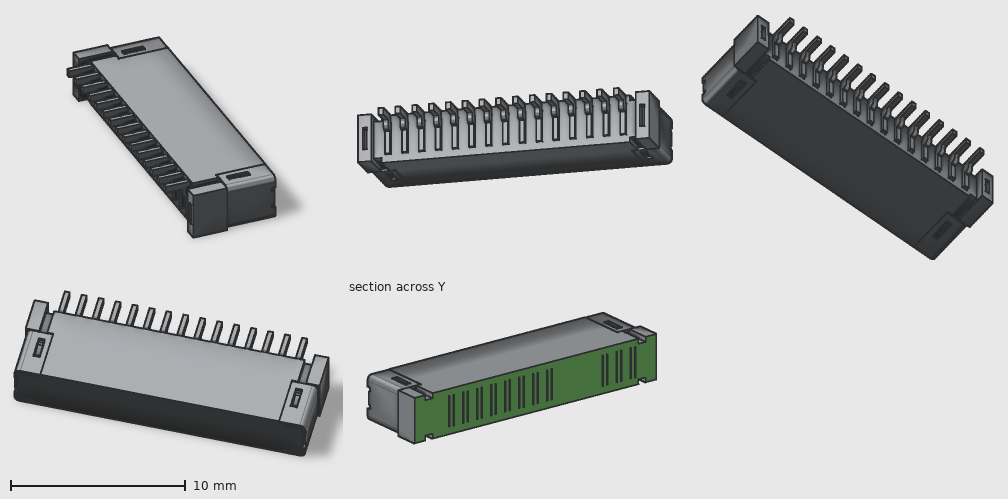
import cadquery as cq


TOTAL_WIDTH = 17.34
HEIGHT = 2.81
HOUSING_DEPTH = 4.68
HALF_WIDTH = TOTAL_WIDTH / 2

EAR_WIDTH = 0.8
EAR_FRONT = -0.5
EAR_BACK = 1.61
EAR_SLOT_WIDTH = 0.26
EAR_SLOT_HEIGHT = 1.3
EAR_SLOT_DEPTH = 0.52
EAR_SLOT_CENTER = 0.42
EAR_SLOT_MID_HEIGHT = 1.39

CLIP_THICKNESS = 0.15
CLIP_INSET = 0.1
CLIP_REACH = 1.63
CLIP_FRONT = 1.66
CLIP_OUTER_RADIUS = 0.33
CLIP_INNER_RADIUS = 0.14
CLIP_HEIGHT = 2.8
WINDOW_LEFT = 0.9
WINDOW_WIDTH = 0.36
WINDOW_FRONT = 2.12
WINDOW_BACK = 3.43
NOTCH_MID_HEIGHT = 1.42
NOTCH_HEIGHT = 1.34
NOTCH_DEPTH = 0.1
RELIEF_WIDTH = 0.28
RELIEF_DEPTH = 0.28

GROOVE_FLOOR = 2.5
GROOVE_END = 1.28

LATCH_LEFT = 0.92
LATCH_WIDTH = 0.31
LATCH_FRONT = 2.34
LATCH_CREST_BACK = 2.51
LATCH_BACK = 3.12
LATCH_HEIGHT = 0.2

PIN_COUNT = 15
PIN_SPAN = 14.0
PIN_PITCH = PIN_SPAN / (PIN_COUNT - 1)
PIN_WIDTH = 0.3
PIN_TIP = -1.55
PIN_BOTTOM = 0.49
TAIL_BOTTOM = 2.4
TAIL_HEEL_RADIUS = 0.14
LEG_FRONT = -0.5
LEG_BOTTOM = 1.8
LEG_INNER_RADIUS = 0.1
LEG_OUTER_RADIUS = 0.26
BLADE_FRONT = -0.17

SLOT_WIDTH = 0.35
SLOT_TOP = 2.34
SLOT_DEPTH = 0.17


def box(x_range, y_range, z_range):
    """A box between the given pairs of coordinates."""
    starts = [x_range[0], y_range[0], z_range[0]]
    sizes = [x_range[1] - x_range[0], y_range[1] - y_range[0], z_range[1] - z_range[0]]
    return cq.Workplane("XY").box(*sizes, centered=False).translate(tuple(starts))


def from_end(distance):
    """X of a point at the given distance from the left end."""
    return distance - HALF_WIDTH


def mirrored_x(shape):
    return shape.mirror("YZ")


def mirrored_z(shape):
    return shape.mirror("XY", (0, 0, CLIP_HEIGHT / 2))


def pin_centers():
    first = -PIN_SPAN / 2
    return [first + PIN_PITCH * index for index in range(PIN_COUNT)]


def ear():
    """Left ear with the blind slot in its front face."""
    block = box((from_end(0), from_end(EAR_WIDTH)), (EAR_FRONT, EAR_BACK), (0, HEIGHT))
    slot = (
        cq.Workplane("XY")
        .box(EAR_SLOT_WIDTH, EAR_SLOT_DEPTH, EAR_SLOT_HEIGHT)
        .translate((from_end(EAR_SLOT_CENTER), EAR_FRONT + EAR_SLOT_DEPTH / 2, EAR_SLOT_MID_HEIGHT))
    )
    return block.cut(slot)


def latch():
    """Upper left latch: a flat crest that slopes down to the groove floor toward the back."""
    crest = GROOVE_FLOOR + LATCH_HEIGHT
    profile = [
        (LATCH_FRONT, GROOVE_FLOOR),
        (LATCH_FRONT, crest),
        (LATCH_CREST_BACK, crest),
        (LATCH_BACK, GROOVE_FLOOR),
    ]
    plane = cq.Workplane("YZ", origin=(from_end(LATCH_LEFT), 0, 0))
    return plane.polyline(profile).close().extrude(LATCH_WIDTH)


def pin(center):
    """Pin with a straight tail at the top, a rounded leg below its root and a thin blade down to its foot."""
    outline = (
        cq.Workplane("YZ", origin=(center - PIN_WIDTH / 2, 0, 0))
        .moveTo(PIN_TIP, HEIGHT)
        .lineTo(-TAIL_HEEL_RADIUS, HEIGHT)
        .radiusArc((0, HEIGHT - TAIL_HEEL_RADIUS), TAIL_HEEL_RADIUS)
        .lineTo(SLOT_DEPTH, HEIGHT - TAIL_HEEL_RADIUS)
        .lineTo(SLOT_DEPTH, PIN_BOTTOM)
        .lineTo(BLADE_FRONT, PIN_BOTTOM)
        .lineTo(BLADE_FRONT, LEG_BOTTOM)
        .lineTo(LEG_FRONT + LEG_OUTER_RADIUS, LEG_BOTTOM)
        .radiusArc((LEG_FRONT, LEG_BOTTOM + LEG_OUTER_RADIUS), LEG_OUTER_RADIUS)
        .lineTo(LEG_FRONT, TAIL_BOTTOM - LEG_INNER_RADIUS)
        .radiusArc((LEG_FRONT - LEG_INNER_RADIUS, TAIL_BOTTOM), -LEG_INNER_RADIUS)
        .lineTo(PIN_TIP, TAIL_BOTTOM)
        .close()
    )
    return outline.extrude(PIN_WIDTH)


def pin_slot(center):
    return box(
        (center - SLOT_WIDTH / 2, center + SLOT_WIDTH / 2),
        (0, SLOT_DEPTH),
        (PIN_BOTTOM, SLOT_TOP),
    )


def make_housing():
    core_left = from_end(CLIP_INSET + CLIP_THICKNESS)
    body = box((core_left, -core_left), (0, HOUSING_DEPTH), (0, HEIGHT))
    groove = box((core_left, from_end(GROOVE_END)), (0, HOUSING_DEPTH), (GROOVE_FLOOR, HEIGHT))
    clip_seat = box(
        (core_left, from_end(CLIP_REACH)), (EAR_BACK, HOUSING_DEPTH), (CLIP_HEIGHT - CLIP_THICKNESS, HEIGHT)
    )
    upper_cut = groove.union(clip_seat)
    for cut in (upper_cut, mirrored_z(upper_cut)):
        body = body.cut(cut).cut(mirrored_x(cut))
    for part in (ear(), latch(), mirrored_z(latch())):
        body = body.union(part).union(mirrored_x(part))
    for center in pin_centers():
        body = body.cut(pin_slot(center)).union(pin(center))
    return body


def clip_notch():
    """Shallow notch in the back edge of the side plate, with a round-ended relief at each end."""
    left = from_end(CLIP_INSET)
    wall = (left, left + CLIP_THICKNESS)
    bottom = NOTCH_MID_HEIGHT - NOTCH_HEIGHT / 2
    top = NOTCH_MID_HEIGHT + NOTCH_HEIGHT / 2
    notch = box(wall, (HOUSING_DEPTH - NOTCH_DEPTH, HOUSING_DEPTH), (bottom, top))
    relief_radius = RELIEF_WIDTH / 2
    relief_y = HOUSING_DEPTH - RELIEF_DEPTH + relief_radius
    for relief_z in (bottom + relief_radius, top - relief_radius):
        channel = box(wall, (relief_y, HOUSING_DEPTH), (relief_z - relief_radius, relief_z + relief_radius))
        round_end = (
            cq.Workplane("YZ", origin=(left, 0, 0))
            .center(relief_y, relief_z)
            .circle(relief_radius)
            .extrude(CLIP_THICKNESS)
        )
        notch = notch.union(channel).union(round_end)
    return notch


def make_clip():
    """Left clip: a sheet bent around the top, side and underside of the housing end."""
    left = from_end(CLIP_INSET)
    right = from_end(CLIP_REACH)
    sheet = box((left, right), (CLIP_FRONT, HOUSING_DEPTH), (0, CLIP_HEIGHT))
    sheet = sheet.edges("|Y and <X").fillet(CLIP_OUTER_RADIUS)
    inside = box(
        (left + CLIP_THICKNESS, right),
        (CLIP_FRONT, HOUSING_DEPTH),
        (CLIP_THICKNESS, CLIP_HEIGHT - CLIP_THICKNESS),
    )
    inside = inside.edges("|Y and <X").fillet(CLIP_INNER_RADIUS)
    windows = box(
        (from_end(WINDOW_LEFT), from_end(WINDOW_LEFT + WINDOW_WIDTH)), (WINDOW_FRONT, WINDOW_BACK), (0, HEIGHT)
    )
    return sheet.cut(inside).cut(windows).cut(clip_notch())


housing = make_housing()
left_clip = make_clip()
clips = [left_clip, mirrored_x(left_clip)]

result = cq.Compound.makeCompound([housing.val(), *[clip.val() for clip in clips]])